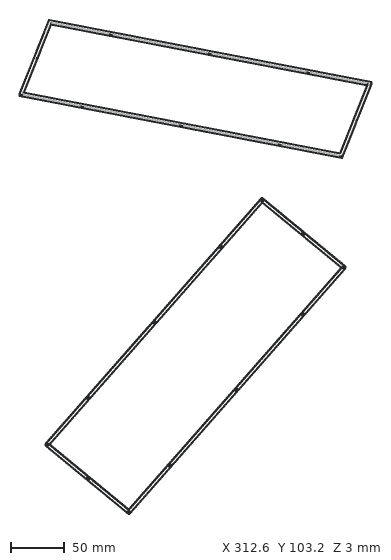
import cadquery as cq

LENGTH = 312.65
WIDTH = 103.25
HEIGHT = 3.0

WALL = 3.0
EDGE_RADIUS = 0.5

HOLE_DIAMETER = 2.2
HOLE_DEPTH = 1.2
HOLE_END_X = (LENGTH - WALL) / 2
HOLE_SIDE_Y = (WIDTH - WALL) / 2
HOLE_INTERMEDIATE_X = 95.6


def frame_blank():
    """Square-edged frame, centred on the Z axis and standing on Z = 0."""
    return (
        cq.Workplane("XY")
        .rect(LENGTH, WIDTH)
        .rect(LENGTH - 2 * WALL, WIDTH - 2 * WALL)
        .extrude(HEIGHT)
    )


def round_edges(frame):
    """Round the inner and outer corners, then the top edges; the bottom stays sharp."""
    rounded_corners = frame.edges("|Z").fillet(EDGE_RADIUS)
    return rounded_corners.faces(">Z").edges().fillet(EDGE_RADIUS)


def hole_centres():
    """Five holes along each long side, corners included, and one midway along each end."""
    long_side_x = (-HOLE_END_X, -HOLE_INTERMEDIATE_X, 0, HOLE_INTERMEDIATE_X, HOLE_END_X)
    long_side_holes = [(x, y) for x in long_side_x for y in (-HOLE_SIDE_Y, HOLE_SIDE_Y)]
    end_holes = [(-HOLE_END_X, 0), (HOLE_END_X, 0)]
    return long_side_holes + end_holes


def underside_holes():
    """Cylinders to remove for the blind holes, rising from the bottom face."""
    return (
        cq.Workplane("XY")
        .pushPoints(hole_centres())
        .circle(HOLE_DIAMETER / 2)
        .extrude(HOLE_DEPTH)
    )


result = round_edges(frame_blank()).cut(underside_holes())